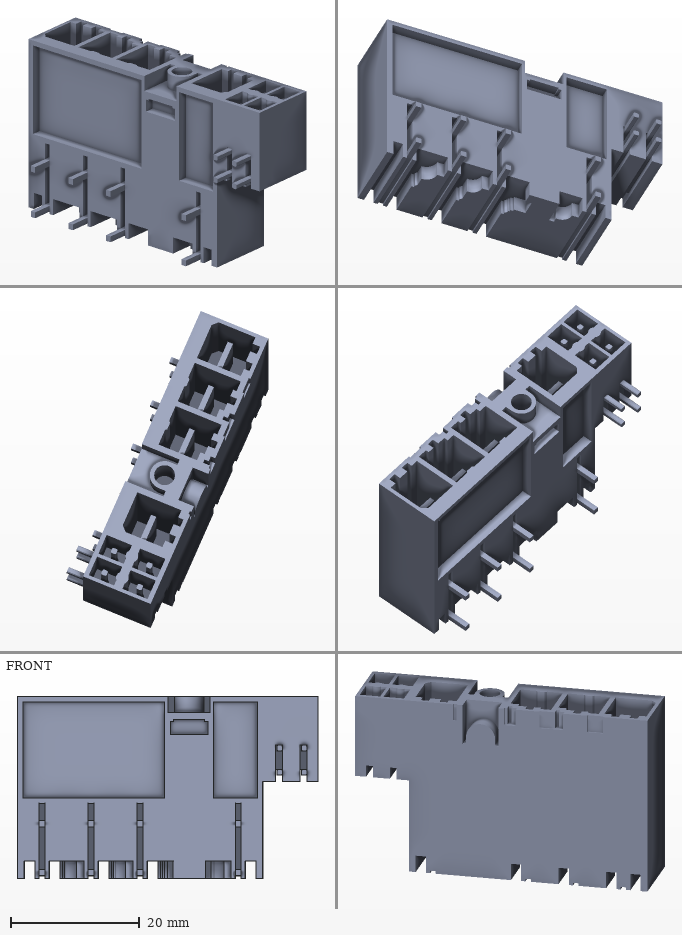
import cadquery as cq

length = 46.7
depth = 11.4
height = 28.3
deep_length = 38.1
signal_underside = 15.1

power_pitch = 7.6
first_power_x = 3.85
power_xs = [first_power_x + power_pitch * position for position in (0, 1, 2, 4)]
tail_reach = 3.5
stem_width = 0.9
blade_width = 4.5
blade_back = 6.1
blade_front = blade_back - stem_width
blade_top = 23.35
tail_height = 1.0
lower_tail_z = 0.4
upper_tail_z = 8.05
stem_slot_top = 11.65
power_floor = 12.55
cavity_front = 2.45
cavity_back = 9.6
end_corner_chamfer = 0.85
cavity_rib_height = 0.3
key_back = 10.75

signal_pitch = power_pitch / 2
first_signal_x = 40.7
signal_xs = [first_signal_x, first_signal_x + signal_pitch]
front_row_y = 2.7
rear_row_y = 8.65
signal_pin_width = 0.9
signal_pin_top = 27.17
signal_edge_chamfer = 0.15
signal_hole_radius = 0.7
signal_slot_width = 1.07
signal_slot_shift = -0.1
front_row_tail_z = 19.85
rear_row_tail_z = 16.05
signal_slot_top = front_row_tail_z + signal_pin_width
signal_floor = 21.5
signal_cavity_width = 3.25
front_signal_cavity = (0.75, 5.0)
rear_signal_cavity = (6.4, 10.65)
rib_half_width = 0.7
rib_height = 0.3

front_wall = 1.65
recess_top = 27.45
recess_spans = [(0.9, 22.9), (30.45, 37.25)]

boss_x = 26.65
boss_radius = 2.3
boss_hole_diameter = 3.2
boss_setback = 5.25
notch_setback = 6.4
front_notch_width = 6.5
front_notch_depth = 2.5
rear_notch_width = 5.7
rear_notch_depth = 2.6
rear_boss_radius = 2.35
boss_foot_fillet = 0.45
nut_slot_width = 5.85
nut_slot_z = 22.4
nut_slot_height = 2.0
nut_slot_step_width = 4.85
nut_slot_step = 0.3

channel_height = 2.7
leg_half_width = 1.1
channel_width = 1.65
third_opening_end = 24.2
fourth_opening_start = 29.25
fourth_pocket_start = 30.05
fourth_pocket_end = 32.08
third_pocket_ends = (25.2, 23.3, 22.85)
round_end_offset = 5.35
first_pocket_radius = 1.77
second_pocket_radius = 1.55
fourth_pocket_radius = 1.6
lip_offset = 3.17
lip_chamfer = 0.35
lip_back = 5.6
pocket_back = 4.0
pocket_step = 0.35

groove_depth = 0.3
groove_height = channel_height
hook_throat_y = 10.65
hook_tip_y = 9.95
shallow_groove_spans = [(7.1, 9.6), (30.5, 31.0)]
hooked_groove_ends = (17.28, 22.92)


def box(x_range, y_range, z_range):
    """A block between two limits along each axis."""
    (x0, x1), (y0, y1), (z0, z1) = x_range, y_range, z_range
    return cq.Workplane("XY").box(x1 - x0, y1 - y0, z1 - z0, centered=False).translate((x0, y0, z0))


def centered_span(middle, width):
    return (middle - width / 2, middle + width / 2)


def prism(points, z_range):
    """A vertical prism over a closed polygon."""
    bottom, top = z_range
    return cq.Workplane("XY").workplane(offset=bottom).polyline(points).close().extrude(top - bottom)


def end_cavity(x, side):
    """Cavity of an outer power contact; side is 1 for the left end and -1 for its mirror image."""
    outline = [
        (end_corner_chamfer - 3.2, cavity_front), (3.4, cavity_front), (3.4, 9.85), (2.15, 9.85),
        (2.15, key_back), (0.9, key_back), (0.9, cavity_back), (-0.85, cavity_back), (-0.85, key_back),
        (-2.1, key_back), (-2.1, 9.5), (-3.2, 9.5), (-3.2, cavity_front + end_corner_chamfer),
    ]
    return prism([(x + side * dx, y) for dx, y in outline], (power_floor, height))


def middle_cavity(x):
    """Cavity of an inner power contact, with a rib on its front wall."""
    rib_y = cavity_front + cavity_rib_height
    outline = [
        (-3.35, cavity_front), (-0.85, cavity_front), (-0.5, rib_y), (0.6, rib_y), (0.85, cavity_front),
        (3.4, cavity_front), (3.4, 8.9), (2.0, 8.9), (2.0, cavity_back), (0.6, cavity_back),
        (0.6, key_back), (-0.55, key_back), (-0.55, cavity_back), (-1.7, cavity_back),
        (-1.7, 10.2), (-3.35, 10.2),
    ]
    return prism([(x + dx, y) for dx, y in outline], (power_floor, height))


def power_contact_slot(x):
    """Slot for the stem and tails, the stem hole up into the cavity and a slit to the rear face."""
    stem_x = centered_span(x, stem_width)
    slot = box(stem_x, (0, blade_back), (0, stem_slot_top))
    stem_hole = box(stem_x, (blade_front, blade_back), (stem_slot_top, power_floor))
    slit = box(stem_x, (0, depth), (0, lower_tail_z))
    return slot.union(stem_hole).union(slit)


def signal_cavity(x, y_range, rib_side):
    """Signal cavity with a rounded rib on one wall; rib_side is the way the rib points along Y."""
    cavity = box(centered_span(x, signal_cavity_width), y_range, (signal_floor, height))
    wall_y = y_range[0] if rib_side > 0 else y_range[1]
    rib = (
        cq.Workplane("XY").workplane(offset=signal_floor)
        .moveTo(x - rib_half_width, wall_y)
        .threePointArc((x, wall_y + rib_side * rib_height), (x + rib_half_width, wall_y))
        .close().extrude(height - signal_floor)
    )
    return cavity.cut(rib)


def signal_contact_slot(x):
    """Slot for both tails of a signal column, open below to the rear face, and the two post holes."""
    slot_x = centered_span(x + signal_slot_shift, signal_slot_width)
    rear_tail_top = rear_row_tail_z + signal_pin_width
    slot = box(slot_x, (0, front_row_y + signal_pin_width / 2), (rear_tail_top, signal_slot_top))
    slot = slot.union(box(slot_x, (0, depth), (signal_underside, rear_tail_top)))
    for y, hole_bottom in ((front_row_y, signal_slot_top), (rear_row_y, rear_tail_top)):
        hole = cq.Workplane("XY").workplane(offset=hole_bottom).center(x, y).circle(signal_hole_radius)
        slot = slot.union(hole.extrude(signal_floor - hole_bottom))
    return slot


def front_notch():
    """Notch in the top front edge around the upright screw boss."""
    floor_z = height - front_notch_depth
    notch = box(centered_span(boss_x, front_notch_width), (0, notch_setback), (floor_z, height))
    boss = (
        cq.Workplane("XY").workplane(offset=floor_z)
        .moveTo(boss_x - boss_radius, notch_setback)
        .lineTo(boss_x - boss_radius, boss_setback)
        .threePointArc((boss_x, boss_setback - boss_radius), (boss_x + boss_radius, boss_setback))
        .lineTo(boss_x + boss_radius, notch_setback)
        .close().extrude(front_notch_depth)
    )
    return notch.cut(boss)


def rear_notch():
    """Notch in the top rear edge around the level screw boss, rounded at the foot of the boss."""
    floor_z = height - notch_setback
    axis_z = height - boss_setback
    foot_z = floor_z + boss_foot_fillet
    foot_half_width = rear_boss_radius + boss_foot_fillet
    bend = boss_foot_fillet * (1 - 0.5 ** 0.5)
    left = boss_x - rear_boss_radius
    right = boss_x + rear_boss_radius
    notch = box(centered_span(boss_x, rear_notch_width), (depth - rear_notch_depth, depth), (floor_z, height))
    boss = (
        cq.Workplane("XZ").workplane(offset=-depth)
        .moveTo(boss_x - foot_half_width, floor_z)
        .threePointArc((left - bend, floor_z + bend), (left, foot_z))
        .lineTo(left, axis_z)
        .threePointArc((boss_x, axis_z + rear_boss_radius), (right, axis_z))
        .lineTo(right, foot_z)
        .threePointArc((right + bend, floor_z + bend), (boss_x + foot_half_width, floor_z))
        .close().extrude(rear_notch_depth)
    )
    return notch.cut(boss)


def screw_hole():
    return (
        cq.Workplane("XY").workplane(offset=nut_slot_z).center(boss_x, boss_setback)
        .circle(boss_hole_diameter / 2).extrude(height - nut_slot_z)
    )


def nut_slot():
    """Stepped slot in the front face below the upright boss."""
    step_z = nut_slot_z + nut_slot_height
    slot = box(centered_span(boss_x, nut_slot_width), (0, front_wall), (nut_slot_z, step_z))
    step = box(centered_span(boss_x, nut_slot_step_width), (0, front_wall), (step_z, step_z + nut_slot_step))
    return slot.union(step)


def rounded_pocket(start_x, end_x, radius):
    """Pocket behind the front wall, ending in a quarter round."""
    bend = radius * 0.5 ** 0.5
    return (
        cq.Workplane("XY").moveTo(start_x, front_wall).lineTo(end_x, front_wall)
        .threePointArc((end_x - radius + bend, front_wall + bend), (end_x - radius, front_wall + radius))
        .lineTo(start_x, front_wall + radius).close().extrude(channel_height)
    )


def lip(x):
    """Chamfered step where a channel narrows behind its pocket."""
    edge = x + lip_offset
    return prism(
        [
            (x + leg_half_width, front_wall), (edge + lip_chamfer, front_wall),
            (edge + lip_chamfer, lip_back - 2 * lip_chamfer), (edge, lip_back - lip_chamfer),
            (edge, lip_back), (x + leg_half_width, lip_back),
        ],
        (0, channel_height),
    )


def underside_channels():
    """Openings between the legs of the power contacts, all of the same height."""
    z_range = (0, channel_height)
    first, second, third, fourth = power_xs
    channel_starts = [
        first - leg_half_width - channel_width, first + leg_half_width, second + leg_half_width,
        third + leg_half_width, fourth + leg_half_width,
    ]
    cutters = [box((start, start + channel_width), (0, depth), z_range) for start in channel_starts]
    front_openings = [
        (first + leg_half_width, second - leg_half_width),
        (second + leg_half_width, third - leg_half_width),
        (third + leg_half_width, third_opening_end),
        (fourth_opening_start, fourth - leg_half_width),
    ]
    cutters += [box(span, (0, front_wall), z_range) for span in front_openings]
    cutters += [lip(x) for x in (first, second, third)]
    for step, end in enumerate(third_pocket_ends):
        step_y = (front_wall, pocket_back + step * pocket_step)
        cutters.append(box((third + leg_half_width, end), step_y, z_range))
    cutters.append(rounded_pocket(first + leg_half_width, first + round_end_offset, first_pocket_radius))
    cutters.append(rounded_pocket(second + leg_half_width, second + round_end_offset, second_pocket_radius))
    cutters.append(box((fourth_opening_start, fourth_pocket_start), (front_wall, pocket_back), z_range))
    cutters.append(rounded_pocket(fourth_pocket_start, fourth_pocket_end, fourth_pocket_radius))
    return cutters


def hooked_groove(x, end_x):
    """L-shaped groove beside an inner cavity, followed by a shallow stretch that ends at end_x."""
    shallow_y = depth - groove_depth
    outline = [
        (x + 2.0, depth), (x + 2.0, hook_throat_y), (x + 2.85, hook_throat_y),
        (x + 2.85, hook_tip_y), (x + 3.4, hook_tip_y),
        (x + 3.4, shallow_y), (end_x, shallow_y), (end_x, depth),
    ]
    return prism(outline, (height - groove_height, height))


def coding_grooves():
    y_range = (depth - groove_depth, depth)
    z_range = (height - groove_height, height)
    grooves = [box(span, y_range, z_range) for span in shallow_groove_spans]
    return grooves + [hooked_groove(x, end_x) for x, end_x in zip(power_xs[1:3], hooked_groove_ends)]


def make_housing():
    body = box((0, deep_length), (0, depth), (0, height))
    body = body.union(box((deep_length, length), (0, depth), (signal_underside, height)))
    cutters = [box(span, (0, front_wall), (power_floor, recess_top)) for span in recess_spans]
    cutters += [end_cavity(power_xs[0], 1), end_cavity(power_xs[3], -1)]
    cutters += [middle_cavity(x) for x in power_xs[1:3]]
    cutters += [power_contact_slot(x) for x in power_xs]
    for x in signal_xs:
        cutters.append(signal_cavity(x, front_signal_cavity, -1))
        cutters.append(signal_cavity(x, rear_signal_cavity, 1))
        cutters.append(signal_contact_slot(x))
    cutters += [front_notch(), rear_notch(), screw_hole(), nut_slot()]
    cutters += underside_channels()
    cutters += coding_grooves()
    for cutter in cutters:
        body = body.cut(cutter)
    return body


def make_power_contact(x):
    """Flat blade on a square stem with two tails that leave through the front face."""
    stem_x = centered_span(x, stem_width)
    contact = box(centered_span(x, blade_width), (blade_front, blade_back), (power_floor, blade_top))
    contact = contact.union(box(stem_x, (blade_front, blade_back), (lower_tail_z, power_floor)))
    for z in (lower_tail_z, upper_tail_z):
        contact = contact.union(box(stem_x, (-tail_reach, blade_back), (z, z + tail_height)))
    return contact


def make_signal_contact(x, y, tail_z):
    """Right-angled pin of square section with chamfered long edges."""
    pin_x = centered_span(x, signal_pin_width)
    post_y = centered_span(y, signal_pin_width)
    post = box(pin_x, post_y, (tail_z, signal_pin_top)).edges("|Z").chamfer(signal_edge_chamfer)
    tail = box(pin_x, (-tail_reach, post_y[1]), (tail_z, tail_z + signal_pin_width))
    return post.union(tail.edges("|Y").chamfer(signal_edge_chamfer))


housing = make_housing()
power_contacts = [make_power_contact(x) for x in power_xs]
signal_contacts = [
    make_signal_contact(x, y, tail_z)
    for x in signal_xs
    for y, tail_z in ((front_row_y, front_row_tail_z), (rear_row_y, rear_row_tail_z))
]

result = cq.Compound.makeCompound(
    [housing.val(), *[contact.val() for contact in power_contacts + signal_contacts]]
)